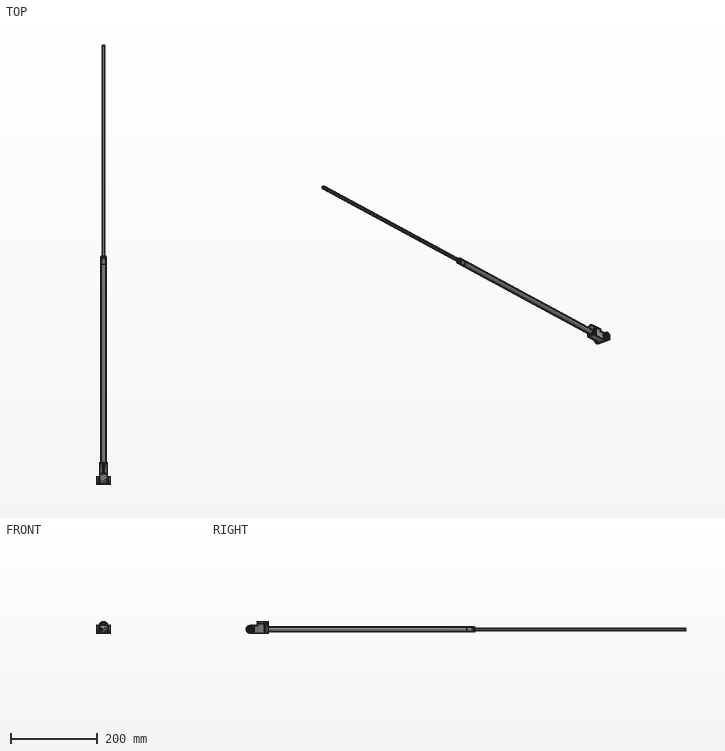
import cadquery as cq


housing_half = 9.0
housing_rear = 40.0
axle_y = -0.75

roof_front = 14.5
roof_top = 18.0
eave_height = 13.4
ridge_width = 3.2

channel_rear = 35.0
channel_radius = 3.5
channel_height = housing_half + channel_radius

recess_front = 31.5
recess_rear = 34.5
recess_bottom = -7.5
recess_top = 10.0
recess_depth = 1.5

axle_radius = 3.0
wheel_radius = 9.0
wheel_inner = 10.5
wheel_outer = 16.0
wheel_dish_radius = 6.5
wheel_dish_depth = 0.5

button_x = -4.5
button_radius = 2.5
button_tip = -10.0
button_root = -5.0

tube_radius = 6.0
tube_end = 498.0
collar_end = 516.5
collar_chamfer_length = 3.0
collar_chamfer_height = 1.0
rod_radius = 3.0
rod_end = 1003.15


def axle_line_cylinder(radius, start, end):
    return cq.Workplane("YZ", origin=(start, axle_y, 0)).circle(radius).extrude(end - start)


def cylinder_along_y(radius, start, end, x=0.0, z=0.0):
    return cq.Workplane("XZ", origin=(x, start, z)).circle(radius).extrude(start - end)


def box_between(x_range, y_range, z_range):
    sizes = [high - low for low, high in (x_range, y_range, z_range)]
    corner = (x_range[0], y_range[0], z_range[0])
    return cq.Workplane("XY").box(*sizes, centered=False).translate(corner)


def make_round_nosed_block():
    return (
        cq.Workplane("YZ", origin=(-housing_half, 0, 0))
        .moveTo(axle_y, housing_half)
        .threePointArc((axle_y - housing_half, 0), (axle_y, -housing_half))
        .lineTo(housing_rear, -housing_half)
        .lineTo(housing_rear, housing_half)
        .close()
        .extrude(2 * housing_half)
    )


def make_roof():
    return (
        cq.Workplane("XZ", origin=(0, roof_front, 0))
        .moveTo(-housing_half, 0)
        .lineTo(-housing_half, eave_height)
        .lineTo(-ridge_width / 2, roof_top)
        .lineTo(ridge_width / 2, roof_top)
        .lineTo(housing_half, eave_height)
        .lineTo(housing_half, 0)
        .close()
        .extrude(roof_front - housing_rear)
    )


def make_channel():
    slot = box_between(
        (-ridge_width / 2, ridge_width / 2),
        (roof_front, channel_rear),
        (channel_height, roof_top),
    )
    bore = cylinder_along_y(channel_radius, roof_front, channel_rear, z=channel_height)
    return slot.union(bore)


def make_side_recess(side):
    inner_and_outer = sorted((side * (housing_half - recess_depth), side * housing_half))
    return box_between(
        inner_and_outer, (recess_front, recess_rear), (recess_bottom, recess_top)
    )


def make_axle():
    return axle_line_cylinder(axle_radius, -wheel_outer, wheel_outer)


def make_button():
    return cylinder_along_y(button_radius, button_tip, button_root, x=button_x)


def make_housing():
    body = make_round_nosed_block().union(make_roof()).clean().cut(make_channel())
    for side in (-1, 1):
        body = body.cut(make_side_recess(side))
    return body.cut(make_axle()).cut(make_button())


def make_wheel(side):
    rim = axle_line_cylinder(wheel_radius, side * wheel_inner, side * wheel_outer)
    dish = axle_line_cylinder(
        wheel_dish_radius, side * (wheel_outer - wheel_dish_depth), side * wheel_outer
    )
    return rim.cut(dish).cut(make_axle())


def make_tube():
    return cylinder_along_y(tube_radius, housing_rear, tube_end)


def make_rod():
    return cylinder_along_y(rod_radius, tube_end, rod_end)


def make_collar():
    sleeve = cylinder_along_y(tube_radius, tube_end, collar_end)
    sleeve = sleeve.faces(">Y").chamfer(collar_chamfer_length, collar_chamfer_height)
    return sleeve.cut(make_rod())


housing = make_housing()
axle = make_axle()
wheels = [make_wheel(side) for side in (-1, 1)]
button = make_button()
tube = make_tube()
collar = make_collar()
rod = make_rod()

bodies = [housing, axle, *wheels, button, tube, collar, rod]
result = cq.Compound.makeCompound([body.val() for body in bodies])